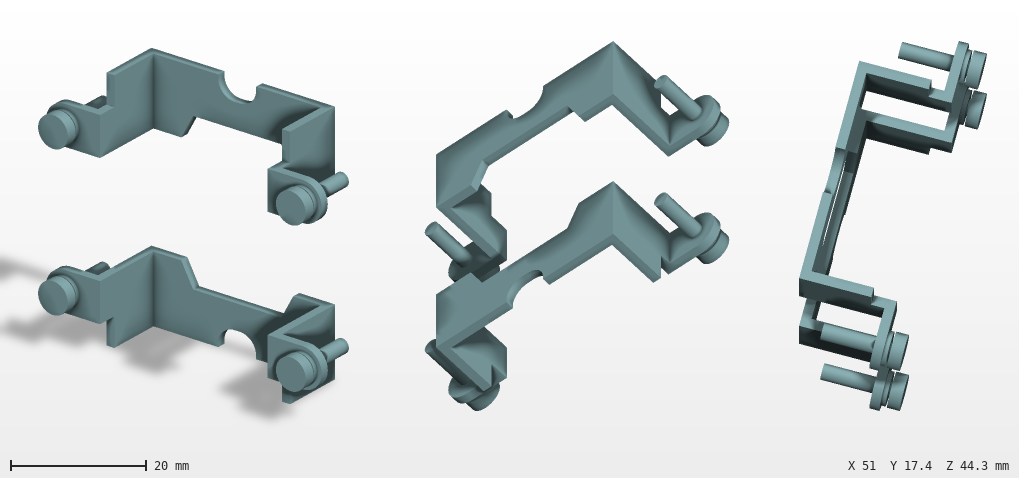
import cadquery as cq


sheet_thickness = 1.5
bracket_width = 34.0
bracket_depth = 14.5
overall_height = 44.3
screw_pitch_x = 44.0
screw_pitch_z = 27.0
ear_radius = 3.5
upper_wall_setback = 3.5

screw_x = screw_pitch_x / 2
screw_z = screw_pitch_z / 2
outer_x = bracket_width / 2
inner_x = outer_x - sheet_thickness
bottom_z = screw_z - ear_radius
ear_top_z = screw_z + ear_radius
top_z = overall_height / 2

round_notch_width = 7.0
round_notch_depth = 3.6
round_notch_radius = 3.0

taper_notch_mouth = 20.7
taper_notch_floor = 16.3
taper_notch_depth = 4.1

shank_diameter = 2.5
shank_tip_y = 9.6
washer_diameter = 5.3
washer_thickness = 0.7
head_diameter = 5.5
head_thickness = 1.9
head_gap = 0.3

head_front_y = -(washer_thickness + head_gap + head_thickness)


def box_between(x_range, y_range, z_range):
    """Axis-aligned box given by its limits along each axis."""
    size = [high - low for low, high in (x_range, y_range, z_range)]
    corner = (x_range[0], y_range[0], z_range[0])
    return cq.Workplane("XY").box(*size, centered=False).translate(corner)


def cylinder_along_y(diameter, start_y, end_y):
    """Cylinder on the screw axis at positive X."""
    return (
        cq.Workplane("XZ", origin=(screw_x, start_y, screw_z))
        .circle(diameter / 2)
        .extrude(start_y - end_y)
    )


def make_channel():
    """U-shaped channel whose side walls are set back above the ears."""
    outside = box_between((-outer_x, outer_x), (0, bracket_depth), (bottom_z, top_z))
    inside = box_between(
        (-inner_x, inner_x), (0, bracket_depth - sheet_thickness), (bottom_z, top_z)
    )
    setback = box_between((-outer_x, outer_x), (0, upper_wall_setback), (ear_top_z, top_z))
    return outside.cut(inside).cut(setback)


def make_round_notch():
    """Cutter for the notch with rounded floor corners."""
    notch = box_between(
        (-round_notch_width / 2, round_notch_width / 2),
        (0, bracket_depth),
        (top_z - round_notch_depth, top_z),
    )
    return notch.edges("|Y and <Z").fillet(round_notch_radius)


def make_taper_notch():
    """Cutter for the notch that narrows toward its floor."""
    floor_z = bottom_z + taper_notch_depth
    return (
        cq.Workplane("XZ")
        .moveTo(-taper_notch_mouth / 2, bottom_z)
        .lineTo(-taper_notch_floor / 2, floor_z)
        .lineTo(taper_notch_floor / 2, floor_z)
        .lineTo(taper_notch_mouth / 2, bottom_z)
        .close()
        .extrude(-bracket_depth)
    )


def make_ear():
    """Mounting ear with a round end, reaching out from the side wall at positive X."""
    arm = box_between((inner_x, screw_x), (0, sheet_thickness), (bottom_z, ear_top_z))
    return arm.union(cylinder_along_y(2 * ear_radius, 0, sheet_thickness))


def make_screw():
    """Screw and washer on the ear at positive X."""
    shank = cylinder_along_y(shank_diameter, head_front_y, shank_tip_y)
    washer = cylinder_along_y(washer_diameter, -washer_thickness, 0)
    head = cylinder_along_y(head_diameter, head_front_y, head_front_y + head_thickness)
    return shank.union(washer).union(head)


def make_bracket():
    """Upper bracket, one solid with its two fixed screws."""
    bracket = make_channel().cut(make_round_notch()).cut(make_taper_notch())
    mount = make_ear().union(make_screw())
    return bracket.union(mount).union(mount.mirror("YZ"))


upper_bracket = make_bracket()
lower_bracket = upper_bracket.mirror("XY")
brackets = [upper_bracket, lower_bracket]

result = cq.Compound.makeCompound([bracket.val() for bracket in brackets])